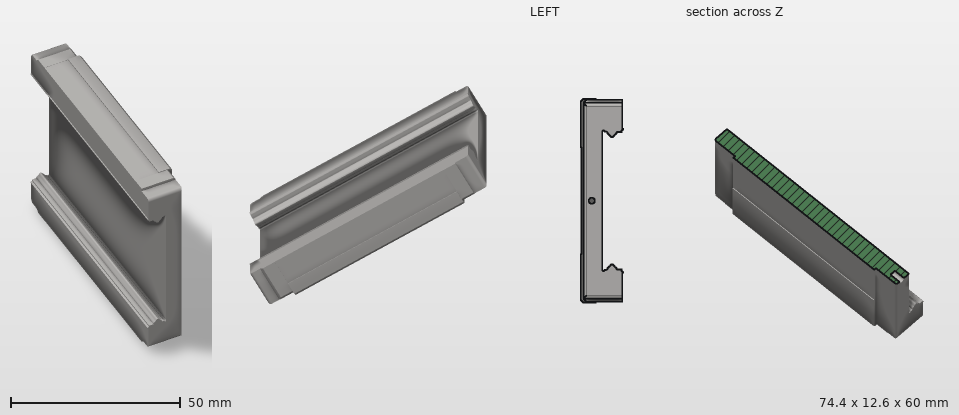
import cadquery as cq

length = 74.4
depth = 12.6
width = 60.0
half_length = length / 2
half_width = width / 2
back_y = depth / 2

body_length = 57.6
body_chamfer = 0.75
band_depth = 4.5
leg_inset = 0.3

relief_width = 31.4
relief_depth = 0.2

cap_recess = 1.0
cap_inset = 0.2
cap_chamfer = 0.75
shoulder_length = 4.4
shoulder_step = 1.0
side_round = 1.0
back_round = 0.75

hole_diameter = 1.8
hole_from_back = 3.3
hole_depth = 3.7

front_depth = 12.3
floor_depth = 6.4
ledge_inset = 9.75
ledge_end_depth = 12.05
lip_inset = 8.8
lip_tip_width = 0.2
lip_root_inset = 9.3
groove_inset = 9.2
groove_start_depth = 6.6
groove_end_depth = 6.8
groove_height = 0.4
groove_edge_inset = groove_inset + groove_height
groove_ramp = 0.4

overshoot = 0.75

ridge_depth = 9.2
crest_inset = 11.3
ridge_height = crest_inset - ledge_inset
ridge_half_width = 1.4
flank_points = [
    (0.45, 0.3),
    (0.75, 0.7),
    (1.1, 1.0),
    (ridge_half_width, ridge_height),
]


def profile_point(depth_from_back, inset):
    """YZ point on the +Z leg, from its depth below the mounting face and inset from the side."""
    return (back_y - depth_from_back, half_width - inset)


def make_slab(total_length, back_recess, side_inset, chamfer, slab_depth):
    """Plain slab with its back face chamfered along both long sides."""
    return (
        cq.Workplane("XY")
        .box(total_length, slab_depth, width - 2 * side_inset)
        .faces(">Y").edges("|X").chamfer(chamfer)
        .translate((0, back_y - back_recess - slab_depth / 2, 0))
    )


def make_channel_half():
    """Space for the rail between the centre plane and the +Z leg, plus the trim off the leg's front."""
    outside_depth = depth + overshoot
    outside_inset = -overshoot
    crest = profile_point(ridge_depth, crest_inset)
    front_flank = [
        profile_point(ridge_depth + out, crest_inset - drop)
        for out, drop in reversed(flank_points)
    ]
    rear_flank = [
        profile_point(ridge_depth - out, crest_inset - drop)
        for out, drop in flank_points
    ]
    return (
        cq.Workplane("YZ", origin=(-half_length, 0, 0))
        .moveTo(back_y - outside_depth, 0)
        .lineTo(*profile_point(outside_depth, outside_inset))
        .lineTo(*profile_point(front_depth, outside_inset))
        .lineTo(*profile_point(front_depth, lip_inset))
        .lineTo(*profile_point(depth, lip_inset))
        .lineTo(*profile_point(depth, lip_inset + lip_tip_width))
        .lineTo(*profile_point(ledge_end_depth, lip_root_inset))
        .lineTo(*profile_point(ledge_end_depth, ledge_inset))
        .lineTo(*front_flank[0])
        .spline(front_flank[1:] + [crest], includeCurrent=True)
        .spline(rear_flank, includeCurrent=True)
        .lineTo(*profile_point(groove_end_depth + groove_ramp, groove_edge_inset))
        .lineTo(*profile_point(groove_end_depth, groove_inset))
        .lineTo(*profile_point(groove_start_depth, groove_inset))
        .lineTo(*profile_point(floor_depth, groove_edge_inset))
        .lineTo(back_y - floor_depth, 0)
        .close()
        .extrude(length)
    )


def make_cap_envelope():
    """Block that narrows the cap ends: sloped at -X, stepped at +X, with rounded end faces."""
    wide_z = half_width - cap_inset
    narrow_z = wide_z - shoulder_step
    shoulder_x = half_length - shoulder_length
    upper_side = [
        (-half_length, narrow_z),
        (-shoulder_x - shoulder_step, narrow_z),
        (-shoulder_x, wide_z),
        (shoulder_x, wide_z),
        (shoulder_x, narrow_z),
        (half_length, narrow_z),
    ]
    lower_side = [(x, -z) for x, z in reversed(upper_side)]
    side_outline = (
        cq.Workplane("XZ", origin=(0, back_y, 0))
        .polyline(upper_side + lower_side).close()
        .extrude(depth)
        .faces("<X or >X").edges("|Y").fillet(side_round)
    )
    back_outline = (
        cq.Workplane("XY")
        .box(length, depth, width)
        .faces(">Y").edges("|Z").fillet(back_round)
        .translate((0, -cap_recess, 0))
    )
    return side_outline.intersect(back_outline)


cap_slab = make_slab(length, cap_recess, cap_inset, cap_chamfer, depth - cap_recess)
caps = cap_slab.intersect(make_cap_envelope())

body_space = cq.Workplane("XY").box(body_length, 2 * depth, 2 * width)
caps = caps.cut(body_space)

rear_band = make_slab(body_length, 0, 0, body_chamfer, band_depth)
legs = make_slab(body_length, 0, leg_inset, body_chamfer, depth)
body = rear_band.union(legs)

channel_half = make_channel_half()
channel = channel_half.union(channel_half.mirror("XY"))

relief = (
    cq.Workplane("XY")
    .box(body_length, relief_depth, relief_width)
    .translate((0, back_y - relief_depth / 2, 0))
)

lubrication_hole = (
    cq.Workplane("YZ", origin=(-half_length, back_y - hole_from_back, 0))
    .circle(hole_diameter / 2)
    .extrude(hole_depth)
)

result = body.union(caps).clean().cut(channel).cut(relief).cut(lubrication_hole)